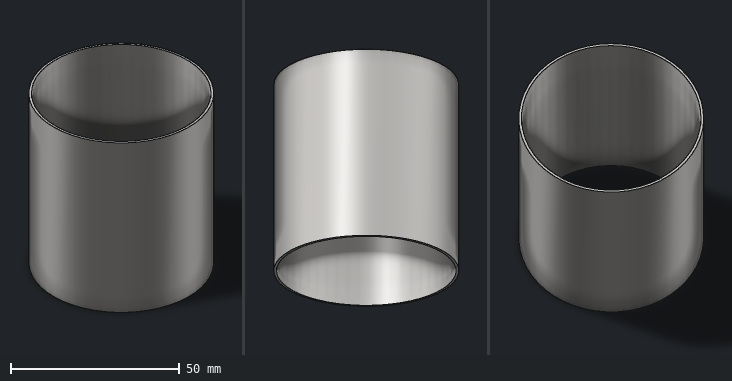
import cadquery as cq

height = 60.0
outer_diameter = 55.1
wall_thickness = 0.85

inner_diameter = outer_diameter - 2 * wall_thickness

result = (
    cq.Workplane("XY")
    .circle(outer_diameter / 2)
    .circle(inner_diameter / 2)
    .extrude(height)
)